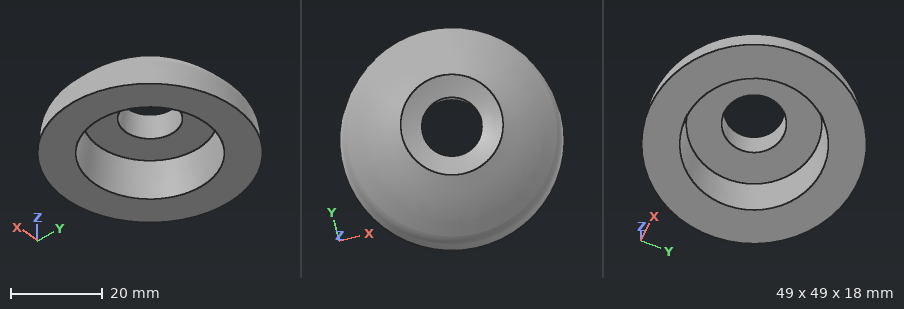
import cadquery as cq
import math

base_diameter = 49.0
height = 18.0
wall_height = 4.9
wall_top_diameter = 48.1
shoulder_height = 7.85
shoulder_diameter = 45.65
rim_diameter = 22.3
dome_bulge = 0.6

dish_sphere_diameter = 41.0
bore_top_diameter = 13.0
draft_angle = 5.0

recess_depth = 9.5
recess_top_diameter = 29.5
recess_mouth_diameter = 32.35



def bulged_midpoint(start, end, bulge):
    """Point off the middle of a chord, on the left when going from start to end."""
    run = end[0] - start[0]
    rise = end[1] - start[1]
    chord = math.hypot(run, rise)
    middle_x = (start[0] + end[0]) / 2
    middle_z = (start[1] + end[1]) / 2
    return (middle_x - bulge * rise / chord, middle_z + bulge * run / chord)


base_edge = (base_diameter / 2, 0)
wall_top = (wall_top_diameter / 2, wall_height)
shoulder_top = (shoulder_diameter / 2, shoulder_height)
rim = (rim_diameter / 2, height)

dish_radius = dish_sphere_diameter / 2
bore_top_radius = bore_top_diameter / 2
center_height_over_rim = math.sqrt(dish_radius**2 - rim[0] ** 2)
center_height_over_bore = math.sqrt(dish_radius**2 - bore_top_radius**2)
dish_depth = center_height_over_bore - center_height_over_rim
bore_length = height - dish_depth - recess_depth
bore_bottom_radius = bore_top_radius + bore_length * math.tan(math.radians(draft_angle))

bore_top = (bore_top_radius, height - dish_depth)
bore_bottom = (bore_bottom_radius, recess_depth)
recess_top = (recess_top_diameter / 2, recess_depth)
recess_mouth = (recess_mouth_diameter / 2, 0)

dish_middle_radius = (rim[0] + bore_top_radius) / 2
dish_center_z = height + center_height_over_rim
dish_middle = (dish_middle_radius, dish_center_z - math.sqrt(dish_radius**2 - dish_middle_radius**2))

section = (
    cq.Workplane("XZ")
    .moveTo(*bore_bottom)
    .lineTo(*recess_top)
    .lineTo(*recess_mouth)
    .lineTo(*base_edge)
    .lineTo(*wall_top)
    .tangentArcPoint(shoulder_top, relative=False)
    .threePointArc(bulged_midpoint(shoulder_top, rim, -dome_bulge), rim)
    .threePointArc(dish_middle, bore_top)
    .close()
)

result = section.revolve(360, (0, 0, 0), (0, 1, 0))